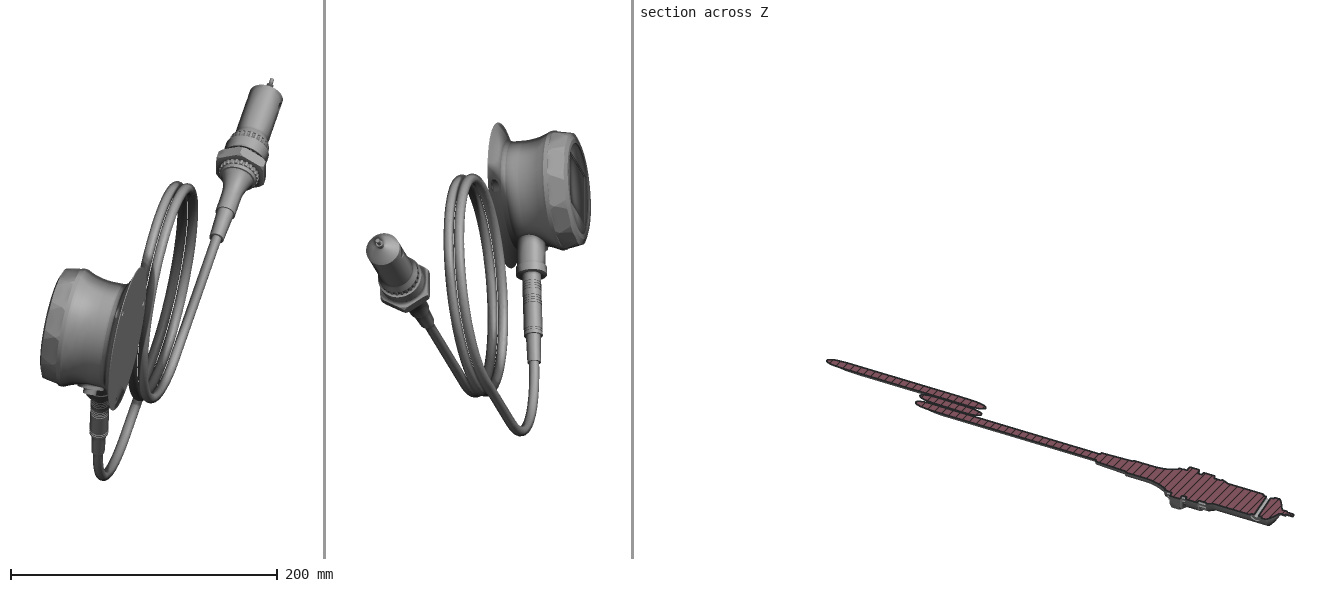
import cadquery as cq
import math


HOUSING_DEPTH = 58.0
FLANGE_RADIUS = 54.95
FLANGE_RIM_THICKNESS = 0.5
BODY_RADIUS = 39.8
BODY_FRONT_RADIUS = 44.35
BODY_FRONT_X = -39.0
BODY_STRAIGHT_X = -20.0
BODY_BACK_X = -10.0
FLARE_START_X = -6.85
FLARE_START_RADIUS = 41.0
FLARE_MID_X = -4.0
FLARE_MID_RADIUS = 46.0

MOUNT_HOLE_COUNT = 3
MOUNT_CIRCLE_RADIUS = 47.5
MOUNT_FIRST_ANGLE = 106
MOUNT_HOLE_DIAMETER = 5.0
MOUNT_SEAT_DIAMETER = 10.0
MOUNT_SEAT_X = -1.5

CAP_FACE_RADIUS = 38.0
CAP_FRONT_RADIUS = 42.5
CAP_CHAMFER_DEPTH = 2.0
CAP_RADIUS = 45.0
CAP_BAND_X = -46.5
CAP_BAND_END_X = -40.5
GRIP_COUNT = 12
GRIP_ANGLE = 6.7
GRIP_FRONT_APOTHEM = 41.5
GRIP_BACK_APOTHEM = 44.0
GRIP_END_X = -43.5
GRIP_WIDTH = 30.5
FACE_RECESS_RADIUS = 34.5
FACE_RECESS_DEPTH = 1.0
BAND_HEIGHT = 41.0
BAND_DEPTH = 0.5
WINDOW_WIDTH = 47.0
WINDOW_HEIGHT = 38.5
WINDOW_DEPTH = 0.5

OUTLET_X = -21.0
OUTLET_DIAMETER = 21.5
OUTLET_END = 61.0
BLANK_ANGLE = 225
BLANK_BASE_DIAMETER = 20.5
BLANK_BASE_END = 42.0
BLANK_KNOB_DIAMETER = 10.0
BLANK_KNOB_END = 46.5

GLAND_NUT_RADIUS = 11.5
GLAND_NUT_LENGTH = 6.0
GLAND_SLEEVE_RADIUS = 7.0
GLAND_SLEEVE_END = 55.5
GLAND_RELIEF_START_RADIUS = 5.5
GLAND_RELIEF_END_RADIUS = 5.0
GLAND_RELIEF_END = 77.5
GLAND_GROOVE_BANDS = ((12.5, 4), (24.5, 4), (50.5, 2))
GLAND_GROOVE_PITCH = 2.0
GLAND_GROOVE_WIDTH = 1.0
GLAND_GROOVE_DEPTH = 0.5

CABLE_DIAMETER = 7.5
BEND_RADIUS = 86.0
CABLE_LOW_Z = -223.0
CABLE_NEAR_X = -25.5
CABLE_FAR_X = -9.0
LOOP_Y = 165.5
LOOP_RADIUS = 80.0
LOOP_TURNS = 2
LOOP_POINTS_PER_TURN = 24

CONNECTOR_TIP_Y = 506.5 - FLANGE_RADIUS
PIN_RADIUS = 1.5
PIN_END_Y = 446.0
COLLAR_RADIUS = 2.5
NOSE_FRONT_Y = 441.5
NOSE_MID_RADIUS = 9.0
NOSE_MID_Y = 438.0
BARREL_RADIUS = 12.9
BARREL_FRONT_Y = 435.0
BARREL_BACK_Y = 391.5
FRONT_KNURL_Y = 386.0
KNURL_RADIUS = 15.0
RING_FRONT_Y = 380.0
RING_BACK_Y = 370.0
RING_RADIUS = 16.5
HEX_FRONT_Y = 366.5
HEX_BACK_Y = 358.0
HEX_APOTHEM = 18.0
HEX_CHAMFER = 1.5
BACK_KNURL_END_Y = 354.0
SHOULDER_RADIUS = 13.5
SHOULDER_END_Y = 351.0
FLARE_RADIUS = 12.0
FLARE_CURVE_Y = 342.5
FLARE_CURVE_RADIUS = 8.85
TUBE_RADIUS = 7.5
TUBE_FRONT_Y = 331.5
TUBE_BACK_Y = 316.0
RELIEF_RADIUS = 6.5
RELIEF_END_RADIUS = 5.5
RELIEF_END_Y = 291.0
KNURL_GROOVE_COUNT = 24
KNURL_GROOVE_DIAMETER = 2.3
CROSS_HOLE_Y = 426.0
CROSS_HOLE_DIAMETER = 3.4
CROSS_SEAT_DIAMETER = 8.5
CROSS_SEAT_DEPTH = 1.5

FACE_X = -HOUSING_DEPTH


def rod_x(x_start, x_end, diameter, y=0.0, z=0.0):
    """Cylinder parallel to X."""
    plane = cq.Workplane("YZ", origin=(x_start, y, z))
    return plane.circle(diameter / 2).extrude(x_end - x_start)


def housing_body():
    """Waisted housing wall running into the flared mounting flange."""
    middle_x = (BODY_FRONT_X + BODY_STRAIGHT_X) / 2
    middle_radius = BODY_RADIUS + (BODY_FRONT_RADIUS - BODY_RADIUS) / 4
    profile = (
        cq.Workplane("XY")
        .moveTo(BODY_FRONT_X, 0)
        .lineTo(BODY_FRONT_X, BODY_FRONT_RADIUS)
        .threePointArc((middle_x, middle_radius), (BODY_STRAIGHT_X, BODY_RADIUS))
        .lineTo(BODY_BACK_X, BODY_RADIUS)
        .lineTo(FLARE_START_X, FLARE_START_RADIUS)
        .threePointArc((FLARE_MID_X, FLARE_MID_RADIUS), (-FLANGE_RIM_THICKNESS, FLANGE_RADIUS))
        .lineTo(0, FLANGE_RADIUS)
        .lineTo(0, 0)
        .close()
    )
    return profile.revolve(360, (0, 0, 0), (1, 0, 0))


def mounting_hole_cutters():
    """Through holes in the flange, each with a flat seat for its screw head."""
    cutters = cq.Workplane("XY")
    for index in range(MOUNT_HOLE_COUNT):
        angle = math.radians(MOUNT_FIRST_ANGLE + index * 360 / MOUNT_HOLE_COUNT)
        y = MOUNT_CIRCLE_RADIUS * math.cos(angle)
        z = MOUNT_CIRCLE_RADIUS * math.sin(angle)
        cutters = cutters.add(rod_x(BODY_BACK_X, 0, MOUNT_HOLE_DIAMETER, y, z))
        cutters = cutters.add(rod_x(BODY_BACK_X, MOUNT_SEAT_X, MOUNT_SEAT_DIAMETER, y, z))
    return cutters.combine()


def grip_cutter():
    """Wedge above a sloping flat, which ends in a step before the back of the cap."""
    top = CAP_RADIUS + 5
    return (
        cq.Workplane("XZ", origin=(0, GRIP_WIDTH / 2, 0))
        .polyline(
            [
                (FACE_X, GRIP_FRONT_APOTHEM),
                (GRIP_END_X, GRIP_BACK_APOTHEM),
                (GRIP_END_X, top),
                (FACE_X, top),
            ]
        )
        .close()
        .extrude(GRIP_WIDTH)
    )


def display_cutter():
    """Round face recess, with a band across it and a window in the band, each one deeper."""
    recess_floor = FACE_X + FACE_RECESS_DEPTH
    band_floor = recess_floor + BAND_DEPTH
    window_depth = FACE_RECESS_DEPTH + BAND_DEPTH + WINDOW_DEPTH
    face = cq.Workplane("YZ", origin=(FACE_X, 0, 0))
    recess = rod_x(FACE_X, recess_floor, 2 * FACE_RECESS_RADIUS)
    band = face.rect(2 * FACE_RECESS_RADIUS, BAND_HEIGHT).extrude(band_floor - FACE_X)
    band = band.intersect(rod_x(FACE_X, band_floor, 2 * FACE_RECESS_RADIUS))
    window = face.rect(WINDOW_WIDTH, WINDOW_HEIGHT).extrude(window_depth)
    return recess.union(band).union(window)


def cap():
    """Screw cap with a bevelled front edge, grip panels and the display face."""
    blank = (
        cq.Workplane("XY")
        .polyline(
            [
                (FACE_X, 0),
                (FACE_X, CAP_FACE_RADIUS),
                (FACE_X + CAP_CHAMFER_DEPTH, CAP_FRONT_RADIUS),
                (CAP_BAND_X, CAP_RADIUS),
                (CAP_BAND_END_X, CAP_RADIUS),
                (BODY_FRONT_X, BODY_FRONT_RADIUS),
                (BODY_FRONT_X, 0),
            ]
        )
        .close()
        .revolve(360, (0, 0, 0), (1, 0, 0))
    )
    cutter = grip_cutter()
    for index in range(GRIP_COUNT):
        angle = GRIP_ANGLE + index * 360 / GRIP_COUNT
        blank = blank.cut(cutter.rotate((0, 0, 0), (1, 0, 0), angle))
    return blank.cut(display_cutter())


def blanking_plug():
    """Round plug with a knob, pointing out radially on the low -Y side."""
    plane = cq.Workplane("XY", origin=(OUTLET_X, 0, 0))
    base = plane.circle(BLANK_BASE_DIAMETER / 2).extrude(BLANK_BASE_END)
    knob = plane.circle(BLANK_KNOB_DIAMETER / 2).extrude(BLANK_KNOB_END)
    return base.union(knob).rotate((0, 0, 0), (1, 0, 0), BLANK_ANGLE - 90)


def cable_lean():
    """Angle by which the gland and the bend lean towards -X."""
    return math.atan2(OUTLET_X - CABLE_NEAR_X, -OUTLET_END - CABLE_LOW_Z)


def gland():
    """Nut, grooved sleeve and tapered strain relief below the outlet."""
    plane = cq.Workplane("XZ")
    blank = (
        plane.polyline(
            [
                (0, 0),
                (GLAND_NUT_RADIUS, 0),
                (GLAND_NUT_RADIUS, -GLAND_NUT_LENGTH),
                (GLAND_SLEEVE_RADIUS, -GLAND_NUT_LENGTH),
                (GLAND_SLEEVE_RADIUS, -GLAND_SLEEVE_END),
                (GLAND_RELIEF_START_RADIUS, -GLAND_SLEEVE_END),
                (GLAND_RELIEF_END_RADIUS, -GLAND_RELIEF_END),
                (0, -GLAND_RELIEF_END),
            ]
        )
        .close()
        .revolve(360, (0, 0, 0), (0, 1, 0))
    )
    groove_floor = GLAND_SLEEVE_RADIUS - GLAND_GROOVE_DEPTH
    for start, count in GLAND_GROOVE_BANDS:
        for index in range(count):
            depth = start + index * GLAND_GROOVE_PITCH
            groove = (
                cq.Workplane("XY", origin=(0, 0, -depth))
                .circle(GLAND_SLEEVE_RADIUS)
                .circle(groove_floor)
                .extrude(-GLAND_GROOVE_WIDTH)
            )
            blank = blank.cut(groove)
    leaning = blank.rotate((0, 0, 0), (0, 1, 0), math.degrees(cable_lean()))
    outlet = cq.Workplane("XY", origin=(OUTLET_X, 0, 0)).circle(OUTLET_DIAMETER / 2).extrude(-OUTLET_END)
    return outlet.union(leaning.translate((OUTLET_X, 0, -OUTLET_END)))


def cable():
    """Round cable: down from the gland, a quarter bend, two helical loops and a straight tail."""
    lean = cable_lean()
    bottom = -OUTLET_END - CABLE_LOW_Z
    run_length = bottom / math.cos(lean)

    def leaning_point(y, distance):
        """Point at a distance down the leaning plane of the gland and the bend."""
        x = OUTLET_X - distance * math.sin(lean)
        return cq.Vector(x, y, -OUTLET_END - distance * math.cos(lean))

    bend_start = run_length - BEND_RADIUS
    start = leaning_point(0, GLAND_NUT_LENGTH)
    bend_top = leaning_point(0, bend_start)
    bend_middle = leaning_point(
        BEND_RADIUS * (1 - math.cos(math.pi / 4)),
        bend_start + BEND_RADIUS * math.sin(math.pi / 4),
    )
    bend_end = leaning_point(BEND_RADIUS, run_length)

    loop_points = []
    point_count = LOOP_TURNS * LOOP_POINTS_PER_TURN
    for index in range(point_count + 1):
        turn_angle = 2 * math.pi * index / LOOP_POINTS_PER_TURN
        x = CABLE_NEAR_X + (CABLE_FAR_X - CABLE_NEAR_X) * index / point_count
        y = LOOP_Y + LOOP_RADIUS * math.sin(turn_angle)
        z = CABLE_LOW_Z + LOOP_RADIUS * (1 - math.cos(turn_angle))
        loop_points.append(cq.Vector(x, y, z))
    along_y = cq.Vector(0, 1, 0)
    tail_end = cq.Vector(CABLE_FAR_X, TUBE_BACK_Y, CABLE_LOW_Z)

    path = cq.Wire.assembleEdges(
        [
            cq.Edge.makeLine(start, bend_top),
            cq.Edge.makeThreePointArc(bend_top, bend_middle, bend_end),
            cq.Edge.makeLine(bend_end, loop_points[0]),
            cq.Edge.makeSpline(loop_points, tangents=[along_y, along_y], scale=False),
            cq.Edge.makeLine(loop_points[-1], tail_end),
        ]
    )
    section_plane = cq.Plane(start, xDir=(0, 1, 0), normal=bend_top - start)
    return cq.Workplane(section_plane).circle(CABLE_DIAMETER / 2).sweep(path)


def knurl_cutter(y_start, y_end):
    """Ring of lengthwise grooves around the connector axis."""
    return (
        cq.Workplane("XZ", origin=(0, y_start, 0))
        .polarArray(KNURL_RADIUS, 0, 360, KNURL_GROOVE_COUNT)
        .circle(KNURL_GROOVE_DIAMETER / 2)
        .extrude(y_start - y_end)
    )


def hex_nut():
    """Hexagon with flats facing +X and -X and bevelled corners."""
    corner_radius = HEX_APOTHEM / math.cos(math.pi / 6)
    prism = (
        cq.Workplane("XZ", origin=(0, HEX_FRONT_Y, 0))
        .polygon(6, 2 * corner_radius)
        .extrude(HEX_FRONT_Y - HEX_BACK_Y)
        .rotate((0, 0, 0), (0, 1, 0), 90)
    )
    bevel = (
        cq.Workplane("XZ", origin=(0, HEX_FRONT_Y, 0))
        .circle(corner_radius)
        .extrude(HEX_FRONT_Y - HEX_BACK_Y)
        .faces("<Y or >Y")
        .chamfer(HEX_CHAMFER)
    )
    return prism.intersect(bevel)


def connector():
    """Plug connector on the far end of the cable."""
    turned = (
        cq.Workplane("XY")
        .moveTo(0, CONNECTOR_TIP_Y)
        .lineTo(PIN_RADIUS, CONNECTOR_TIP_Y)
        .lineTo(PIN_RADIUS, PIN_END_Y)
        .lineTo(COLLAR_RADIUS, PIN_END_Y)
        .lineTo(COLLAR_RADIUS, NOSE_FRONT_Y)
        .threePointArc((NOSE_MID_RADIUS, NOSE_MID_Y), (BARREL_RADIUS, BARREL_FRONT_Y))
        .lineTo(BARREL_RADIUS, BARREL_BACK_Y)
        .lineTo(KNURL_RADIUS, FRONT_KNURL_Y)
        .lineTo(KNURL_RADIUS, RING_FRONT_Y)
        .lineTo(RING_RADIUS, RING_FRONT_Y)
        .lineTo(RING_RADIUS, RING_BACK_Y)
        .lineTo(KNURL_RADIUS, RING_BACK_Y)
        .lineTo(KNURL_RADIUS, BACK_KNURL_END_Y)
        .lineTo(SHOULDER_RADIUS, BACK_KNURL_END_Y)
        .lineTo(SHOULDER_RADIUS, SHOULDER_END_Y)
        .lineTo(FLARE_RADIUS, SHOULDER_END_Y)
        .threePointArc((FLARE_CURVE_RADIUS, FLARE_CURVE_Y), (TUBE_RADIUS, TUBE_FRONT_Y))
        .lineTo(TUBE_RADIUS, TUBE_BACK_Y)
        .lineTo(RELIEF_RADIUS, TUBE_BACK_Y)
        .lineTo(RELIEF_END_RADIUS, RELIEF_END_Y)
        .lineTo(0, RELIEF_END_Y)
        .close()
        .revolve(360, (0, 0, 0), (0, 1, 0))
    )
    for y_start, y_end in (
        (FRONT_KNURL_Y, RING_FRONT_Y),
        (RING_BACK_Y, HEX_FRONT_Y),
        (HEX_BACK_Y, BACK_KNURL_END_Y),
    ):
        turned = turned.cut(knurl_cutter(y_start, y_end))

    cross_hole = rod_x(-BARREL_RADIUS, BARREL_RADIUS, CROSS_HOLE_DIAMETER, CROSS_HOLE_Y)
    for side in (-1, 1):
        outside = side * BARREL_RADIUS
        seat_floor = side * (BARREL_RADIUS - CROSS_SEAT_DEPTH)
        cross_hole = cross_hole.union(rod_x(outside, seat_floor, CROSS_SEAT_DIAMETER, CROSS_HOLE_Y))
    whole = turned.cut(cross_hole).union(hex_nut())
    return whole.translate((CABLE_FAR_X, 0, CABLE_LOW_Z))


housing = housing_body().cut(mounting_hole_cutters()).union(cap())
housing = housing.union(blanking_plug())
result = housing.union(gland()).union(cable()).union(connector())